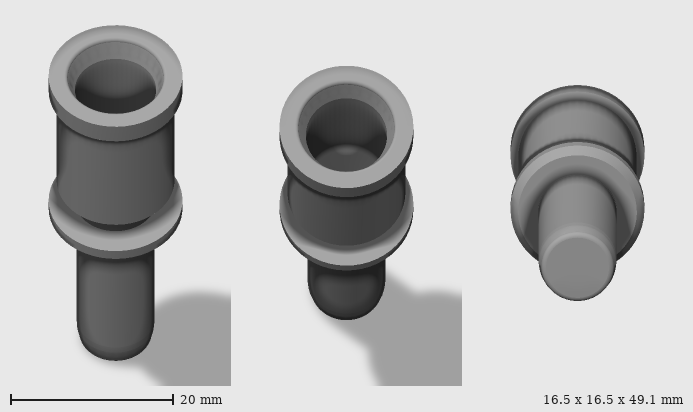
import cadquery as cq
import math

total_height = 49.1

collar_radius = 8.25
collar_height = 2.75
collar_chamfer_height = 0.3
body_radius = 7.25
body_bottom = 29.4
neck_radius = 5.0
neck_top = 28.05

flange_radius = collar_radius
flange_top = 25.6
flange_rim_bottom = 24.1
flange_bottom = 23.05
flange_bottom_radius = 7.3

pin_radius = 4.8
root_radius = 4.85
root_bottom = 22.75
relief_top = 3.35
relief_bottom = 2.3
relief_radius = 4.75
tip_shoulder_height = 0.65
tip_shoulder_radius = 4.45
tip_flat_radius = 3.9
tip_arc_mid = (4.65, 1.45)
tip_edge_mid = (4.25, 0.2)

mouth_radius = 6.35
mouth_rounding = 0.45
lead_radius = mouth_radius - mouth_rounding
lead_bottom = 46.5
bore_radius = 5.0
bore_bottom = 32.7
floor_slope = math.radians(30)
floor_fillet = 0.9

mouth_arc_inset = mouth_rounding * (1 - math.sqrt(0.5))

fillet_centre_radius = bore_radius - floor_fillet
fillet_mid_angle = (math.pi / 2 - floor_slope) / 2
floor_radius = fillet_centre_radius + floor_fillet * math.sin(floor_slope)
floor_rim = bore_bottom - floor_fillet * math.cos(floor_slope)
floor_cone_depth = floor_radius * math.tan(floor_slope)
floor_fillet_mid = (
    fillet_centre_radius + floor_fillet * math.cos(fillet_mid_angle),
    bore_bottom - floor_fillet * math.sin(fillet_mid_angle),
)

collar_rim_bottom = total_height - collar_height
collar_bottom = collar_rim_bottom - collar_chamfer_height


def make_outer_body():
    """Revolve the outside half-profile, drawn from the tip upward."""
    profile = (
        cq.Workplane("XZ")
        .lineTo(tip_flat_radius, 0)
        .threePointArc(tip_edge_mid, (tip_shoulder_radius, tip_shoulder_height))
        .threePointArc(tip_arc_mid, (relief_radius, relief_bottom))
        .lineTo(pin_radius, relief_top)
        .lineTo(pin_radius, root_bottom)
        .lineTo(root_radius, root_bottom)
        .lineTo(root_radius, flange_bottom)
        .lineTo(flange_bottom_radius, flange_bottom)
        .lineTo(flange_radius, flange_rim_bottom)
        .lineTo(flange_radius, flange_top)
        .lineTo(neck_radius, flange_top)
        .lineTo(neck_radius, neck_top)
        .lineTo(body_radius, body_bottom)
        .lineTo(body_radius, collar_bottom)
        .lineTo(collar_radius, collar_rim_bottom)
        .lineTo(collar_radius, total_height)
        .lineTo(0, total_height)
        .close()
    )
    return profile.revolve(360, (0, 0), (0, 1))


def make_socket():
    """Revolve the socket half-profile, drawn from the mouth downward."""
    profile = (
        cq.Workplane("XZ")
        .moveTo(0, total_height)
        .lineTo(mouth_radius, total_height)
        .threePointArc(
            (lead_radius + mouth_arc_inset, total_height - mouth_arc_inset),
            (lead_radius, total_height - mouth_rounding),
        )
        .lineTo(bore_radius, lead_bottom)
        .lineTo(bore_radius, bore_bottom)
        .threePointArc(floor_fillet_mid, (floor_radius, floor_rim))
        .lineTo(0, floor_rim - floor_cone_depth)
        .close()
    )
    return profile.revolve(360, (0, 0), (0, 1))


result = make_outer_body().cut(make_socket())